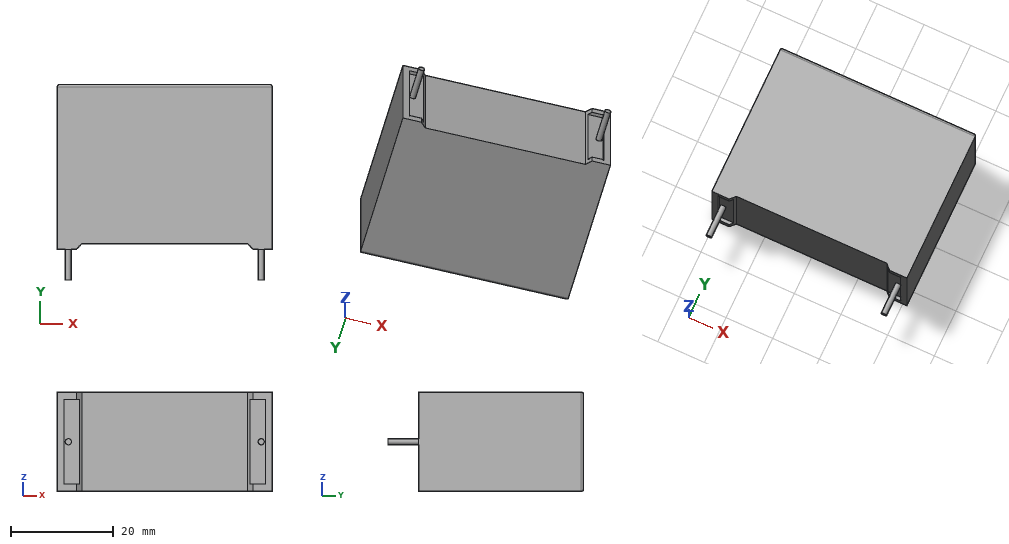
import cadquery as cq

case_width = 41.8
case_length = 32.1
case_height = 19.3
back_edge_radius = 0.5

foot_width = 3.7
relief_depth = 1.08
relief_flank_width = 1.1

pocket_side_margin = 1.35
pocket_width = 3.0
pocket_height = 16.4
pocket_depth = 0.7

lead_pitch = 37.5
lead_diameter = 1.2
lead_length = 6.0

half_width = case_width / 2
pocket_center_x = half_width - pocket_side_margin - pocket_width / 2
sides = (-1, 1)


def make_case():
    """Block with rounded back edges, a relief between its feet and two lead pockets."""
    foot_end = half_width - foot_width
    flank_end = foot_end - relief_flank_width
    case = (
        cq.Workplane("XY")
        .box(case_width, case_length, case_height, centered=(True, False, True))
        .faces(">Y")
        .edges()
        .fillet(back_edge_radius)
    )
    relief = (
        cq.Workplane("XY")
        .polyline([(-foot_end, 0), (-flank_end, relief_depth), (flank_end, relief_depth), (foot_end, 0)])
        .close()
        .extrude(case_height / 2, both=True)
    )
    case = case.cut(relief)
    for side in sides:
        pocket = (
            cq.Workplane("XY")
            .box(pocket_width, pocket_depth, pocket_height, centered=(True, False, True))
            .translate((side * pocket_center_x, 0, 0))
        )
        case = case.cut(pocket)
    return case


def make_lead(side):
    """Straight round wire from the pocket floor out past the feet."""
    return (
        cq.Workplane("XZ", origin=(side * lead_pitch / 2, pocket_depth, 0))
        .circle(lead_diameter / 2)
        .extrude(pocket_depth + lead_length)
    )


case = make_case()
leads = [make_lead(side) for side in sides]

result = cq.Compound.makeCompound([case.val(), *[lead.val() for lead in leads]])